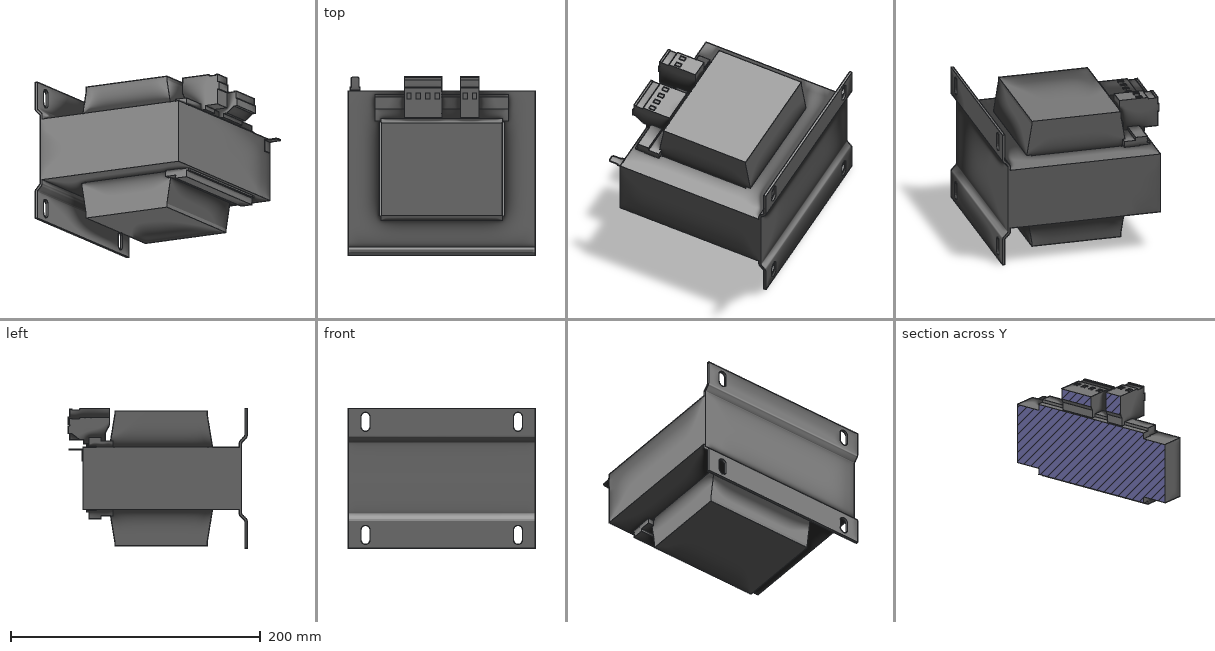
import cadquery as cq
import math


core_width = 150.0
leg_width = core_width / 6
window_length = 3 * leg_width
window_half_span = 2 * leg_width
stack_height = 50.0
core_depth = window_length + 2 * leg_width
yoke_joint_y = core_depth - leg_width
core_top = stack_height / 2

coil_width = 97.0
coil_top = 54.0
coil_edge_height = 3.0
coil_base_overhang = 3.75
coil_top_inset = 0.5

plate_height = 112.0
plate_thickness = 2.0
plate_offset = 4.5
bend_angle = math.radians(45)
web_bend_z = 28.5
inside_bend_radius = 1.5
outside_bend_radius = inside_bend_radius + plate_thickness
edge_search_margin = 0.01
slot_width = 7.0
slot_length = 15.0
slot_half_pitch_x = 61.0
slot_half_pitch_z = 45.25

rail_length = 107.0
rail_front_y = 101.1
rail_back_y = 120.2
rail_ridge_front_y = 110.4
rail_shoulder_height = 5.0
rail_ridge_height = 7.5
rail_lip_y = 122.2
rail_lip_height = 2.0
rail_relief_depth = 8.0
rail_relief_height = 0.5

terminal_width = 15.0
low_terminal_left_edges = (-2 * terminal_width, -terminal_width)
high_terminal_left_edge = terminal_width
low_terminal_top = 48.6
high_terminal_top = 55.9
terminal_front_y = 103.6
terminal_neck_y = 107.0
terminal_step_y = 127.2
terminal_step_run = 0.8
terminal_step_drop = 1.2
terminal_lip_front_y = 133.9
terminal_lip_height = 0.6
terminal_back_y = 135.7
terminal_bump_y = 136.75
bump_top_drop = 6.7
bump_height = 6.2
front_face_height = 5.8
neck_drop = 12.1
body_bottom_z = 30.7
slope_end_y = 127.3
foot_back_y = 124.4
foot_bottom_z = 27.5
wire_hole_width = 3.5
wire_hole_length = 4.7
wire_hole_depth = 0.8
wire_hole_y = 120.9
wire_hole_pitch = terminal_width / 2

tab_thickness = 0.8
tab_center_x = -69.3
tab_base_width = 8.0
tab_blade_width = 6.3
tab_top_z = 23.3
tab_bottom_z = 13.7
tab_shoulder_y = core_depth + 3.1
tab_end_y = 136.3
tab_corner = 1.0


def box(x_range, y_range, z_range):
    """Box between the given limits on each axis."""
    size = [high - low for low, high in (x_range, y_range, z_range)]
    corner = (x_range[0], y_range[0], z_range[0])
    return cq.Workplane("XY").box(*size, centered=False).translate(corner)


def side_sketch(x_start):
    """Workplane at x_start whose local axes are Y and Z."""
    return cq.Workplane("YZ", origin=(x_start, 0, 0))


def make_core():
    half_width = core_width / 2
    stack = (-core_top, core_top)
    legs = box((-half_width, half_width), (0, yoke_joint_y), stack)
    window = box((-window_half_span, window_half_span), (leg_width, yoke_joint_y), stack)
    yoke = box((-half_width, half_width), (yoke_joint_y, core_depth), stack)
    return legs.cut(window).union(yoke, clean=False)


def make_coil():
    """Coil filling the window, with tapered ends overhanging the core above and below."""
    base_front = leg_width - coil_base_overhang
    base_back = yoke_joint_y + coil_base_overhang
    top_front = leg_width + coil_top_inset
    top_back = yoke_joint_y - coil_top_inset
    taper_top = coil_top - coil_edge_height
    half_width = coil_width / 2
    coil = box((-half_width, half_width), (leg_width, yoke_joint_y), (-core_top, core_top))
    end = (
        side_sketch(-half_width)
        .moveTo(base_front, core_top)
        .lineTo(top_front, taper_top)
        .lineTo(top_front, coil_top)
        .lineTo(top_back, coil_top)
        .lineTo(top_back, taper_top)
        .lineTo(base_back, core_top)
        .close()
        .extrude(coil_width)
    )
    return coil.union(end).union(end.mirror("XY"))


def round_bends(plate, bend_points, radius):
    """Fillet the sheet edges along X at the given (y, z) points and at their mirror images in Z."""
    half_width = core_width / 2
    bend_edges = []
    for y, z in bend_points:
        for side_z in (z, -z):
            finder = cq.selectors.BoxSelector(
                (-half_width, y - edge_search_margin, side_z - edge_search_margin),
                (half_width, y + edge_search_margin, side_z + edge_search_margin),
            )
            bend_edges += plate.edges("|X").edges(finder).vals()
    return plate.newObject(bend_edges).fillet(radius)


def make_plate():
    """Sheet with a flat web against the core and two flanges joggled away at 45 degrees."""
    flange_bend_z = web_bend_z + plate_offset / math.tan(bend_angle)
    bend_shift = plate_thickness * math.tan(bend_angle / 2)
    half_height = plate_height / 2
    outer_y = -plate_thickness - plate_offset
    outer = [(-plate_thickness, web_bend_z), (outer_y, flange_bend_z), (outer_y, half_height)]
    inner = [
        (-plate_offset, half_height),
        (-plate_offset, flange_bend_z + bend_shift),
        (0, web_bend_z + bend_shift),
    ]
    upper = outer + inner
    lower = [(y, -z) for y, z in reversed(upper)]
    plate = side_sketch(-core_width / 2).polyline(upper + lower).close().extrude(core_width)

    plate = round_bends(plate, (outer[0], inner[1]), inside_bend_radius)
    plate = round_bends(plate, (outer[1], inner[2]), outside_bend_radius)

    slots = (
        cq.Workplane("XZ")
        .rect(2 * slot_half_pitch_x, 2 * slot_half_pitch_z, forConstruction=True)
        .vertices()
        .slot2D(slot_length, slot_width, 90)
        .extrude(plate_thickness + plate_offset)
    )
    return plate.cut(slots)


def make_rail():
    """Stepped terminal rail on top of the core, relieved underneath its back edge."""
    relief_z = core_top + rail_relief_height
    lip_z = core_top + rail_lip_height
    ridge_z = core_top + rail_ridge_height
    shoulder_z = core_top + rail_shoulder_height
    relief_front_y = rail_lip_y - rail_relief_depth
    outline = [
        (rail_front_y, core_top),
        (rail_front_y, shoulder_z),
        (rail_ridge_front_y, shoulder_z),
        (rail_ridge_front_y, ridge_z),
        (rail_back_y, ridge_z),
        (rail_back_y, lip_z),
        (rail_lip_y, lip_z),
        (rail_lip_y, relief_z),
        (relief_front_y, relief_z),
        (relief_front_y, core_top),
    ]
    return side_sketch(-rail_length / 2).polyline(outline).close().extrude(rail_length)


def make_terminal(left_x, top_z, has_sloped_underside):
    """Terminal block clipped over the rail, with two wire holes in its top face.

    The front face, neck and foot stay at the same height for every block; only the top and
    the bump on the back face follow top_z.
    """
    bump_top_z = top_z - bump_top_drop
    bump_bottom_z = bump_top_z - bump_height
    step_z = top_z - terminal_step_drop
    lip_z = step_z + terminal_lip_height
    outline = (
        side_sketch(left_x)
        .moveTo(terminal_neck_y, foot_bottom_z)
        .lineTo(terminal_neck_y, low_terminal_top - neck_drop)
        .lineTo(terminal_front_y, low_terminal_top - front_face_height)
        .lineTo(terminal_front_y, top_z)
        .lineTo(terminal_step_y, top_z)
        .lineTo(terminal_step_y + terminal_step_run, step_z)
        .lineTo(terminal_lip_front_y, step_z)
        .lineTo(terminal_lip_front_y, lip_z)
        .lineTo(terminal_back_y, lip_z)
        .lineTo(terminal_back_y, bump_top_z)
        .lineTo(terminal_bump_y, bump_top_z)
        .lineTo(terminal_bump_y, bump_bottom_z)
        .lineTo(terminal_back_y, bump_bottom_z)
    )
    if has_sloped_underside:
        outline = outline.lineTo(terminal_lip_front_y, bump_bottom_z)
        outline = outline.lineTo(slope_end_y, body_bottom_z)
    else:
        outline = outline.lineTo(terminal_back_y, body_bottom_z)
    block = (
        outline.lineTo(foot_back_y, body_bottom_z)
        .lineTo(foot_back_y, foot_bottom_z)
        .close()
        .extrude(terminal_width)
    )
    wire_holes = (
        cq.Workplane("XY", origin=(left_x + terminal_width / 2, wire_hole_y, top_z))
        .rarray(wire_hole_pitch, 1, 2, 1)
        .rect(wire_hole_width, wire_hole_length)
        .extrude(-wire_hole_depth)
    )
    return block.cut(wire_holes)


def make_earth_tab():
    """L-shaped tab: a leg flat on the back of the core and a blade pointing away from it."""
    base_x = (tab_center_x - tab_base_width / 2, tab_center_x + tab_base_width / 2)
    blade_x = (tab_center_x - tab_blade_width / 2, tab_center_x + tab_blade_width / 2)
    blade_z = (tab_top_z - tab_thickness, tab_top_z)
    leg = box(base_x, (core_depth, core_depth + tab_thickness), (tab_bottom_z, tab_top_z))
    shoulder = box(base_x, (core_depth, tab_shoulder_y), blade_z)
    blade = box(blade_x, (core_depth, tab_end_y), blade_z)
    blade = blade.edges("|Z and >Y").chamfer(tab_corner)
    return leg.union(shoulder).union(blade)


rail = make_rail()
parts = [make_coil(), make_plate(), rail, rail.mirror("XY"), make_earth_tab()]
parts += [make_terminal(left_x, low_terminal_top, True) for left_x in low_terminal_left_edges]
parts.append(make_terminal(high_terminal_left_edge, high_terminal_top, False))

result = make_core()
for part in parts:
    result = result.union(part, clean=False)